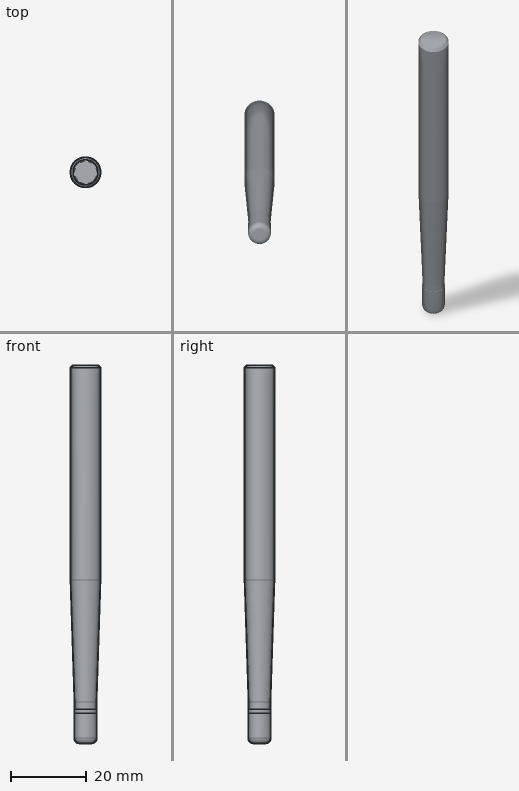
import cadquery as cq

total_length = 100.0
shank_radius = 4.0
cutter_radius = 3.0
neck_relief = 0.05
neck_radius = cutter_radius - neck_relief

cutter_top = 8.0
collar_top = 9.0
neck_top = 11.1
taper_top = 43.3

tip_corner_radius = 1.5
shank_chamfer = 0.7


def make_cutter():
    """Cylindrical cutting head with a rounded tip corner."""
    head = cq.Workplane("XY").circle(cutter_radius).extrude(cutter_top)
    return head.faces("<Z").edges().fillet(tip_corner_radius)


def make_holder():
    """Collar, relieved neck, taper and straight chamfered shank, turned as one profile."""
    return (
        cq.Workplane("XZ")
        .moveTo(0, cutter_top)
        .lineTo(cutter_radius, cutter_top)
        .lineTo(cutter_radius, collar_top)
        .lineTo(neck_radius, collar_top)
        .lineTo(neck_radius, neck_top)
        .lineTo(shank_radius, taper_top)
        .lineTo(shank_radius, total_length - shank_chamfer)
        .lineTo(shank_radius - shank_chamfer, total_length)
        .lineTo(0, total_length)
        .close()
        .revolve(360, (0, 0, 0), (0, 1, 0))
    )


cutter = make_cutter()
holder = make_holder()

result = cq.Compound.makeCompound([cutter.val(), holder.val()])